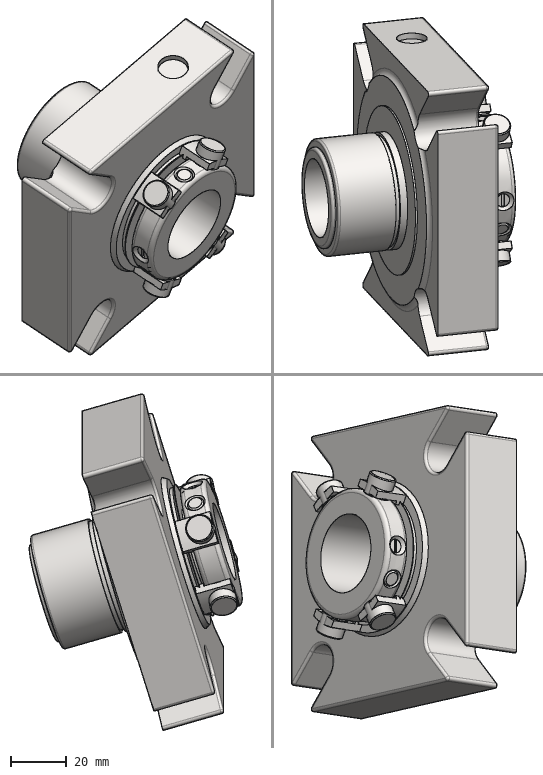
import cadquery as cq
import math

OVERLAP = 0.5

TOTAL_LENGTH = 68.2
SHOULDER_X = 1.5
GROOVE_X = 23.3
GROOVE_WIDTH = 1.6
THIN_DISC_X = 27.6
PILOT_X = 28.3
PLATE_X = 29.8
PLATE_THICKNESS = 23.0
PLATE_BACK_X = PLATE_X + PLATE_THICKNESS
BOSS_BACK_X = PLATE_BACK_X + 1.8
HUB_BACK_X = BOSS_BACK_X + 1.2
RING_BACK_X = HUB_BACK_X + 0.9
CLIP_START_X = BOSS_BACK_X + 0.3
COLLAR_X = 58.2
COLLAR_BACK_X = 68.0

BORE_DIA = 28.6
TIP_DIA = 36.8
TIP_RADIUS = 1.1
SLEEVE_DIA = 42.6
SLEEVE_RADIUS = 0.8
GROOVE_DIA = 40.8
NECK_DIA = 30.5

PLATE_SIZE = 100.7
BACK_EDGE_RADIUS = 1.0
THIN_DISC_DIA = 61.3
PILOT_DIA = 83.1
PILOT_ROOT_DIA = 87.9
SLOT_WIDTH = 13.9
SLOT_CENTER = 33.5
HORN_RADIUS = 1.0
PORT_DIA = 11.0
PORT_DEPTH = 2.2
PORT_X = 41.7
PORT_Y = 18.2

BOSS_ROOT_DIA = 56.6
BOSS_DIA = 54.4
HUB_DIA = 47.5
RING_DIA = 49.1
RING_FLARE = 0.7

COLLAR_DIA = HUB_DIA
COLLAR_EDGE_RADIUS = 1.7
SCREW_SEAT_DIA = 7.6
SCREW_DIA = 6.0
SCREW_FACE_DIA = 4.9
SCREW_CONE_ANGLE = 45
DRIVER_SLOT_WIDTH = 1.1
DRIVER_SLOT_DEPTH = 0.8
SET_SCREW_ANGLES = (90, 210, 330)
SLOTTED_SCREW_ANGLES = (0, 180)

CLIP_ANGLES = (60, 120, 240, 300)
CLIP_WIDTH = 11.6
CLIP_OUTER_DIA = BOSS_DIA
CLIP_TONGUE_RADIUS = 22.6
CLIP_GAP = 0.1
HEAD_DIA = 10.0
SCREW_X = TOTAL_LENGTH - HEAD_DIA / 2
HEAD_TOP_RADIUS = 30.9
HEAD_CHAMFER = 0.4


def disc(x_start, x_end, dia):
    """Cylinder on the shaft axis."""
    return cq.Workplane("YZ").workplane(offset=x_start).circle(dia / 2).extrude(x_end - x_start)


def turn(points):
    """Turned body from a closed outline of (x, radius) points."""
    return cq.Workplane("XY").polyline(points).close().revolve(360, (0, 0), (1, 0))


def radial_frame(angle, radius):
    """Plane facing outward at an angle from +Y toward +Z, with its local x along the shaft."""
    a = math.radians(angle)
    outward = (0, math.cos(a), math.sin(a))
    origin = (SCREW_X, radius * outward[1], radius * outward[2])
    return cq.Workplane(cq.Plane(origin=origin, xDir=(1, 0, 0), normal=outward))


def make_sleeve():
    tip = disc(0, SHOULDER_X + OVERLAP, TIP_DIA).faces("<X").edges().fillet(TIP_RADIUS)
    body = disc(SHOULDER_X, PLATE_X + OVERLAP, SLEEVE_DIA).faces("<X").edges().fillet(SLEEVE_RADIUS)
    groove_end = GROOVE_X + GROOVE_WIDTH
    groove = disc(GROOVE_X, groove_end, SLEEVE_DIA + OVERLAP).cut(disc(GROOVE_X, groove_end, GROOVE_DIA))
    neck = disc(PLATE_BACK_X, COLLAR_X + OVERLAP, NECK_DIA)
    return tip.union(body.cut(groove)).union(neck)


def make_pilot():
    """Raised round face whose rim sweeps out in a cove that lands tangent on the plate."""
    rise = PLATE_X - PILOT_X
    reach = (PILOT_ROOT_DIA - PILOT_DIA) / 2
    cove_radius = (rise**2 + reach**2) / (2 * rise)
    half_sweep = math.asin(reach / cove_radius) / 2
    cove_mid = (
        PLATE_X - cove_radius * (1 - math.cos(half_sweep)),
        PILOT_ROOT_DIA / 2 - cove_radius * math.sin(half_sweep),
    )
    outline = (
        cq.Workplane("XY")
        .moveTo(PILOT_X, 0)
        .lineTo(PILOT_X, PILOT_DIA / 2)
        .threePointArc(cove_mid, (PLATE_X, PILOT_ROOT_DIA / 2))
        .lineTo(PLATE_X + OVERLAP, PILOT_ROOT_DIA / 2)
        .lineTo(PLATE_X + OVERLAP, 0)
        .close()
    )
    return outline.revolve(360, (0, 0), (1, 0))


def make_slot(index):
    """Round ended bolt slot that runs out diagonally through one corner."""
    start = PILOT_X - OVERLAP
    depth = PLATE_BACK_X + OVERLAP - start
    distance = SLOT_CENTER * math.sqrt(2)
    length = PLATE_SIZE / 2
    face = cq.Workplane("YZ").workplane(offset=start)
    end = face.center(distance, 0).circle(SLOT_WIDTH / 2).extrude(depth)
    channel = face.center(distance + length / 2, 0).rect(length, SLOT_WIDTH).extrude(depth)
    return end.union(channel).rotate((0, 0, 0), (1, 0, 0), 45 + 90 * index)


def make_gland():
    face = cq.Workplane("YZ").workplane(offset=PLATE_X)
    plate = face.rect(PLATE_SIZE, PLATE_SIZE).extrude(PLATE_THICKNESS)
    pilot = make_pilot()
    for index in range(4):
        slot = make_slot(index)
        plate = plate.cut(slot)
        pilot = pilot.cut(slot)
    slot_root = SLOT_CENTER + SLOT_WIDTH / 2
    slot_ends = cq.selectors.BoxSelector(
        (PLATE_X, -slot_root, -slot_root), (PLATE_BACK_X, slot_root, slot_root)
    )
    lengthwise = cq.selectors.ParallelDirSelector(cq.Vector(1, 0, 0))
    plate = plate.edges(lengthwise - slot_ends).fillet(HORN_RADIUS)
    plate = plate.faces(">X").edges().fillet(BACK_EDGE_RADIUS)
    port = (
        cq.Workplane("XY")
        .workplane(offset=PLATE_SIZE / 2 - PORT_DEPTH)
        .center(PORT_X, PORT_Y)
        .circle(PORT_DIA / 2)
        .extrude(PORT_DEPTH + OVERLAP)
    )
    thin_disc = disc(THIN_DISC_X, PILOT_X + OVERLAP, THIN_DISC_DIA)
    return plate.cut(port).union(pilot).union(thin_disc)


def make_boss():
    boss = turn(
        [
            (PLATE_BACK_X - OVERLAP, 0),
            (PLATE_BACK_X - OVERLAP, BOSS_ROOT_DIA / 2),
            (PLATE_BACK_X, BOSS_ROOT_DIA / 2),
            (BOSS_BACK_X, BOSS_DIA / 2),
            (BOSS_BACK_X, 0),
        ]
    )
    hub = disc(BOSS_BACK_X - OVERLAP, HUB_BACK_X, HUB_DIA)
    ring = turn(
        [
            (HUB_BACK_X, 0),
            (HUB_BACK_X, HUB_DIA / 2),
            (HUB_BACK_X + RING_FLARE, RING_DIA / 2),
            (RING_BACK_X, RING_DIA / 2),
            (RING_BACK_X, 0),
        ]
    )
    return boss.union(hub).union(ring)


def seat_floor(angle, floor_dia):
    """Plane at the depth where a countersink has narrowed to floor_dia."""
    depth = (SCREW_SEAT_DIA - floor_dia) / 2
    return radial_frame(angle, COLLAR_DIA / 2 - depth)


def seat_cutter(floor, floor_dia):
    """Cone that widens outward from the seat floor and runs on past the curved collar wall."""
    depth = (SCREW_SEAT_DIA - floor_dia) / 2
    return floor.circle(floor_dia / 2).extrude(depth + OVERLAP, taper=-SCREW_CONE_ANGLE)


def make_collar():
    collar = disc(COLLAR_X, COLLAR_BACK_X, COLLAR_DIA).edges().fillet(COLLAR_EDGE_RADIUS)
    for angle in SET_SCREW_ANGLES:
        floor = seat_floor(angle, SCREW_DIA)
        tip_height = (SCREW_DIA - SCREW_FACE_DIA) / 2
        screw_tip = floor.circle(SCREW_DIA / 2).extrude(tip_height, taper=SCREW_CONE_ANGLE)
        collar = collar.cut(seat_cutter(floor, SCREW_DIA)).union(screw_tip)
    for angle in SLOTTED_SCREW_ANGLES:
        floor = seat_floor(angle, SCREW_FACE_DIA)
        screw_core = floor.circle(SCREW_FACE_DIA / 2).extrude(-DRIVER_SLOT_DEPTH)
        driver_slot = floor.rect(DRIVER_SLOT_WIDTH, SCREW_FACE_DIA).extrude(-DRIVER_SLOT_DEPTH)
        collar = collar.cut(seat_cutter(floor, SCREW_FACE_DIA)).cut(driver_slot.intersect(screw_core))
    return collar


def clip_block(angle, x_end, bottom_radius):
    """Square bar from the clip start to x_end, lying outside bottom_radius at an angle from +Y."""
    return (
        cq.Workplane("XY")
        .box(x_end - CLIP_START_X, CLIP_OUTER_DIA / 2, CLIP_WIDTH, centered=(False, False, True))
        .translate((CLIP_START_X, bottom_radius, 0))
        .rotate((0, 0, 0), (1, 0, 0), angle)
    )


def make_clip(angle):
    """Setting clip: a bar over the collar, a tongue in front of it and a round headed screw."""
    rim = disc(CLIP_START_X, COLLAR_BACK_X, CLIP_OUTER_DIA)
    bar = clip_block(angle, COLLAR_BACK_X, COLLAR_DIA / 2 + CLIP_GAP)
    tongue = clip_block(angle, COLLAR_X, CLIP_TONGUE_RADIUS)
    screw_base = COLLAR_DIA / 2 - OVERLAP
    frame = radial_frame(angle, screw_base)
    screw = frame.circle(HEAD_DIA / 2).extrude(HEAD_TOP_RADIUS - screw_base)
    head_top = cq.selectors.DirectionMinMaxSelector(frame.plane.zDir)
    screw = screw.faces(head_top).edges().chamfer(HEAD_CHAMFER)
    return bar.union(tongue).intersect(rim).union(screw)


result = make_sleeve().union(make_gland()).union(make_boss()).union(make_collar())
for clip_angle in CLIP_ANGLES:
    result = result.union(make_clip(clip_angle))
result = result.cut(disc(-OVERLAP, COLLAR_BACK_X + OVERLAP, BORE_DIA))